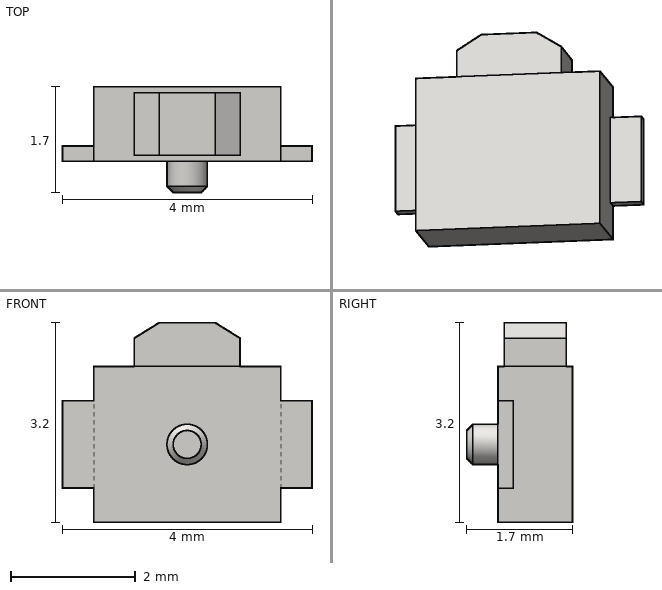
import cadquery as cq

body_width = 3.0
body_depth = 1.2
body_height = 2.5

tab_span = 4.0
tab_depth = 0.25
tab_height = 1.4

button_width = 1.7
button_depth = 1.0
button_height = 0.7
button_flat_width = 0.9
button_slope_height = 0.25

pin_diameter = 0.65
pin_length = 0.5
pin_chamfer = 0.1

body_top = body_height / 2
button_top = body_top + button_height


def make_body():
    return cq.Workplane("XY").box(body_width, body_depth, body_height).translate((0, body_depth / 2, 0))


def make_tabs():
    return cq.Workplane("XY").box(tab_span, tab_depth, tab_height).translate((0, tab_depth / 2, 0))


def make_button():
    shoulder = button_top - button_slope_height
    front = (body_depth - button_depth) / 2
    return (
        cq.Workplane("XZ", origin=(0, front, 0))
        .moveTo(-button_width / 2, body_top)
        .lineTo(-button_width / 2, shoulder)
        .lineTo(-button_flat_width / 2, button_top)
        .lineTo(button_flat_width / 2, button_top)
        .lineTo(button_width / 2, shoulder)
        .lineTo(button_width / 2, body_top)
        .close()
        .extrude(-button_depth)
    )


def make_pin():
    return cq.Workplane("XZ").circle(pin_diameter / 2).extrude(pin_length).faces("<Y").chamfer(pin_chamfer)


result = make_body().union(make_tabs()).union(make_button()).union(make_pin())